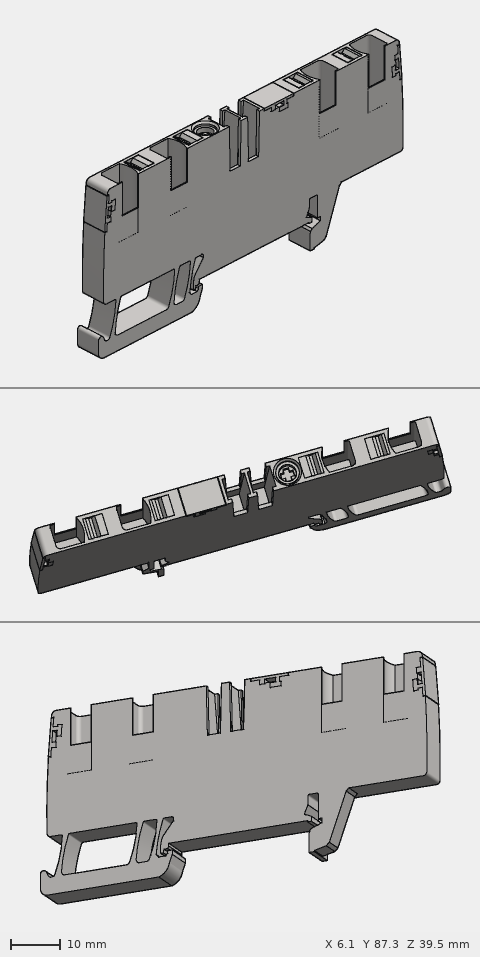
import cadquery as cq
import math


thickness = 6.1
half_thickness = thickness / 2
half_length = 87.29 / 2
height = 39.45

body_bottom = 12.5
body_end_pos = half_length
body_end_neg = -42.2
end_radius = 206.0
end_tangent_z = 17.35
top_corner_radius = 1.1
bottom_corner_radius = 0.8


def end_inset(z):
    """Distance by which a bulging end has drawn in at height z."""
    rise = z - end_tangent_z
    return end_radius - math.sqrt(end_radius**2 - rise**2)


def extrude_across(sketch, x_low=-half_thickness, x_high=half_thickness):
    """Extrude a closed YZ outline between two X positions."""
    return sketch.extrude(x_high - x_low).translate((x_low, 0, 0))


def yz_polygon(points, x_low=-half_thickness, x_high=half_thickness):
    return extrude_across(cq.Workplane("YZ").polyline(points).close(), x_low, x_high)


def box_between(x_range, y_range, z_range):
    size = [high - low for low, high in (x_range, y_range, z_range)]
    corner = (x_range[0], y_range[0], z_range[0])
    return cq.Workplane("XY").box(*size, centered=False).translate(corner)


def make_body():
    low = end_inset(body_bottom)
    top = end_inset(height)
    outline = (
        cq.Workplane("YZ")
        .moveTo(body_end_neg + low, body_bottom)
        .lineTo(body_end_pos - low, body_bottom)
        .threePointArc((body_end_pos, end_tangent_z), (body_end_pos - top, height))
        .lineTo(body_end_neg + top, height)
        .threePointArc((body_end_neg, end_tangent_z), (body_end_neg + low, body_bottom))
        .close()
    )
    body = extrude_across(outline)
    body = body.edges("|X and >Z").fillet(top_corner_radius)
    return body.edges("|X and <Z").fillet(bottom_corner_radius)


rail_seat_z = 6.9


def make_rail_block():
    return yz_polygon([
        (16.75, body_bottom), (16.75, 10.3), (15.95, 8.4), (17.55, 7.7), (17.55, 6.65), (16.65, 6.65),
        (16.65, rail_seat_z), (-14.65, rail_seat_z), (-14.65, 6.3), (-14.9, 5.8), (-15.7, 5.8),
        (-15.9, 5.05), (-16.5, 5.05), (-16.5, 6.6), (-16.25, 8.0), (-15.85, 8.75), (-13.6, 11.6),
        (-13.6, body_bottom),
    ])


foot_web_thickness = 4.0
strip_outer_y = 19.13
strip_back = [
    (18.2, 4.0), (19.26, 4.35), (21.5, 5.35), (21.5, 7.5), (20.2, 8.3), (20.2, body_bottom),
]


def make_spring_foot():
    strip = yz_polygon([
        (strip_outer_y, body_bottom), (strip_outer_y, 6.95), (19.9, 6.95),
        (19.9, 5.95), (17.55, 5.1), (17.1, 4.6), (17.0, 4.2), (17.0, 0), (18.2, 0),
        *strip_back,
    ])
    web = yz_polygon(
        [(26.0, body_bottom), (25.4, 11.9), (21.6, 1.5), (20.9, 0.85), (18.2, 0.25), *strip_back],
        half_thickness - foot_web_thickness, half_thickness,
    )
    return strip.union(web)


bar_top_z = 3.76
leg_tops = (-15.85, -20.35, -37.2)
leg_top_width = 1.45
leg_mid_z = 8.6
inner_face_lean = (1.1, 1.7)
outer_face_lean = (1.9, 3.35)


def make_leg(top_y):
    outline = (
        cq.Workplane("YZ")
        .moveTo(top_y, body_bottom)
        .threePointArc((top_y - inner_face_lean[0], leg_mid_z), (top_y - inner_face_lean[1], bar_top_z))
        .lineTo(top_y - outer_face_lean[1], bar_top_z)
        .threePointArc((top_y - outer_face_lean[0], leg_mid_z), (top_y - leg_top_width, body_bottom))
        .close()
    )
    return extrude_across(outline)


def make_foot_bar():
    outline = (
        cq.Workplane("YZ")
        .moveTo(-13.85, 5.35)
        .lineTo(-14.95, 5.35)
        .lineTo(-14.95, 4.8)
        .lineTo(-15.4, 4.3)
        .lineTo(-17.0, 4.3)
        .lineTo(-17.45, 4.9)
        .lineTo(-18.6, 4.9)
        .lineTo(-19.2, bar_top_z)
        .lineTo(-41.3, bar_top_z)
        .threePointArc((-41.65, 3.9), (-41.9, 4.3))
        .lineTo(-42.3, 5.1)
        .threePointArc((-43.0, 5.4), (-half_length, 4.8))
        .lineTo(-half_length, 1.6)
        .threePointArc((-43.15, 0.45), (-42.0, 0))
        .lineTo(-16.9, 0)
        .threePointArc((-15.5, 0.8), (-14.5, 2.7))
        .lineTo(-13.85, 4.4)
        .close()
    )
    return extrude_across(outline)


def make_fixed_foot():
    foot = make_foot_bar()
    for top_y in leg_tops:
        foot = foot.union(make_leg(top_y))
    return foot


gap_corner_radius = 0.4
gap_corner_range = (-40.0, 19.2)
bar_corner_radius = 0.8
bar_corner_range = (-40.8, -18.5)


def round_inner_corners(housing, z, y_range, radius):
    """Round the edges along X that lie at height z between two Y positions."""
    margin = 0.05
    zone = cq.selectors.BoxSelector(
        (-thickness, y_range[0], z - margin), (thickness, y_range[1], z + margin)
    )
    return housing.edges("|X").edges(zone).fillet(radius)


post_y = -1.85
slot_floor_z = 28.8
slot_top_span = (0.93, 4.33)
slot_floor_span = (1.18, 4.08)
pocket_half_width = 2.25
pocket_top_span = (0.3, 5.05)
pocket_floor_span = (1.4, 3.9)
pocket_floor_z = 24.8


def make_tapered_slot(side, top_span, floor_span, floor_z, half_width):
    return yz_polygon(
        [
            (post_y + side * top_span[0], height), (post_y + side * top_span[1], height),
            (post_y + side * floor_span[1], floor_z), (post_y + side * floor_span[0], floor_z),
        ],
        -half_width, half_width,
    )


button_half_width = 2.25
button_length = 4.1
button_depth = 8.0
button_recess = 0.1
groove_offset = 0.5
groove_top_width = 2.0
groove_floor_width = 0.6
groove_depth = 0.8
clamps = ((30.6, 1), (16.6, 1), (-15.0, -1), (-29.0, -1))

entry_near = 2.5
entry_far = 8.85
entry_bulge = 0.65
entry_x = (-2.5, 2.8)
entry_depth = 14.0
entry_corner_radii = (0.9, 0.3)
entry_window = (3.2, 7.8)
entry_window_depth = 8.0


def make_button_pocket(clamp_y):
    half = button_length / 2
    return box_between(
        (-button_half_width, button_half_width),
        (clamp_y - half, clamp_y + half),
        (height - button_depth, height),
    )


def make_button(clamp_y, side):
    top_z = height - button_recess
    groove_y = clamp_y + side * groove_offset
    groove = yz_polygon([
        (groove_y - groove_top_width / 2, top_z), (groove_y - groove_floor_width / 2, top_z - groove_depth),
        (groove_y + groove_floor_width / 2, top_z - groove_depth), (groove_y + groove_top_width / 2, top_z),
    ])
    above_button = box_between(
        (-half_thickness, half_thickness),
        (clamp_y - button_length, clamp_y + button_length),
        (top_z, height),
    )
    return make_button_pocket(clamp_y).cut(above_button).cut(groove)


def make_wire_entry(clamp_y, side):
    near_y = clamp_y + side * (entry_near + entry_bulge)
    tip_y = clamp_y + side * entry_near
    far_y = clamp_y + side * entry_far
    mid_x = sum(entry_x) / 2
    hole = (
        cq.Workplane("XY")
        .moveTo(entry_x[0], near_y)
        .threePointArc((mid_x, tip_y), (entry_x[1], near_y))
        .lineTo(entry_x[1], far_y)
        .lineTo(entry_x[0], far_y)
        .close()
        .extrude(entry_depth)
        .translate((0, 0, height - entry_depth))
    )
    far_edges = ">Y" if side > 0 else "<Y"
    for corner, radius in zip(("<X", ">X"), entry_corner_radii):
        hole = hole.edges("|Z").edges(corner).edges(far_edges).fillet(radius)
    window_ends = sorted(clamp_y + side * reach for reach in entry_window)
    window = box_between(
        (mid_x, half_thickness), window_ends, (height - entry_window_depth, height)
    )
    return hole.union(window)


test_y = -10.0
counterbore_radius = 2.4
counterbore_chamfer = 0.45
counterbore_depth = 0.9
test_hole_radius = 1.8
test_hole_depth = 2.1
cross_length = 2.7
cross_width = 1.2
cross_depth = 1.0


def make_test_point():
    counterbore_z = height - counterbore_depth
    hole_z = height - test_hole_depth
    outline = [
        (0, height), (counterbore_radius + counterbore_chamfer, height),
        (counterbore_radius, height - counterbore_chamfer), (counterbore_radius, counterbore_z),
        (test_hole_radius, counterbore_z), (test_hole_radius, hole_z), (0, hole_z),
    ]
    point = cq.Workplane("XZ").polyline(outline).close().revolve(360, (0, 0, 0), (0, 1, 0))
    for size_x, size_y in ((cross_length, cross_width), (cross_width, cross_length)):
        arm = cq.Workplane("XY").box(size_x, size_y, cross_depth, centered=(True, True, False))
        point = point.union(arm.translate((0, 0, hole_z - cross_depth)))
    return point.translate((0, test_y, 0))


marker_length = 8.3
marker_plate = 0.6
marker_end_gap = 0.1
marker_leg_reach = 2.25
marker_leg_bottom = -1.6
marker_window = (-1.1, 1.4)
marker_window_bottom = -1.45
hook_span = (0.1, 2.6)
hook_bottom = -2.6
top_marker_y = 8.1
end_marker_z = 33.85
end_marker_tilt = math.degrees(math.asin((end_marker_z - end_tangent_z) / end_radius))
marker_places = (
    (top_marker_y, height, 0),
    (body_end_pos - end_inset(end_marker_z), end_marker_z, end_marker_tilt - 90),
    (body_end_neg + end_inset(end_marker_z), end_marker_z, 90 - end_marker_tilt),
)


def place_marker(shape, place):
    y, z, angle = place
    return shape.rotate((0, 0, 0), (1, 0, 0), angle).translate((0, y, z))


def make_flat_marker():
    half = marker_length / 2
    return yz_polygon([
        (-half, 0), (half, 0), (half, -marker_plate), (marker_leg_reach, -marker_plate),
        (marker_leg_reach, marker_leg_bottom), (hook_span[1], marker_leg_bottom),
        (hook_span[1], hook_bottom), (hook_span[0], hook_bottom), (hook_span[0], marker_leg_bottom),
        (marker_window[1], marker_leg_bottom), (marker_window[1], -marker_plate),
        (marker_window[0], -marker_plate), (marker_window[0], marker_leg_bottom),
        (-marker_leg_reach, marker_leg_bottom), (-marker_leg_reach, -marker_plate), (-half, -marker_plate),
    ])


def make_marker_groove():
    recess_half = marker_length / 2 + marker_end_gap
    across = (-half_thickness, half_thickness)
    recess = box_between(across, (-recess_half, recess_half), (-marker_plate, 0))
    window = box_between(across, marker_window, (marker_window_bottom, -marker_plate))
    return make_flat_marker().union(recess).union(window)


def make_housing():
    housing = make_body().union(make_rail_block()).union(make_spring_foot()).union(make_fixed_foot())
    housing = round_inner_corners(housing, body_bottom, gap_corner_range, gap_corner_radius)
    housing = round_inner_corners(housing, bar_top_z, bar_corner_range, bar_corner_radius)
    for side in (1, -1):
        slot = make_tapered_slot(side, slot_top_span, slot_floor_span, slot_floor_z, half_thickness)
        pocket = make_tapered_slot(
            side, pocket_top_span, pocket_floor_span, pocket_floor_z, pocket_half_width
        )
        housing = housing.cut(slot).cut(pocket)
    for clamp_y, side in clamps:
        housing = housing.cut(make_button_pocket(clamp_y))
        housing = housing.cut(make_wire_entry(clamp_y, side))
    housing = housing.cut(make_test_point())
    for place in marker_places:
        housing = housing.cut(place_marker(make_marker_groove(), place))
    return housing


housing = make_housing()
buttons = [make_button(clamp_y, side) for clamp_y, side in clamps]
markers = [place_marker(make_flat_marker(), place) for place in marker_places]

result = cq.Compound.makeCompound(
    [housing.val(), *[button.val() for button in buttons], *[marker.val() for marker in markers]]
)